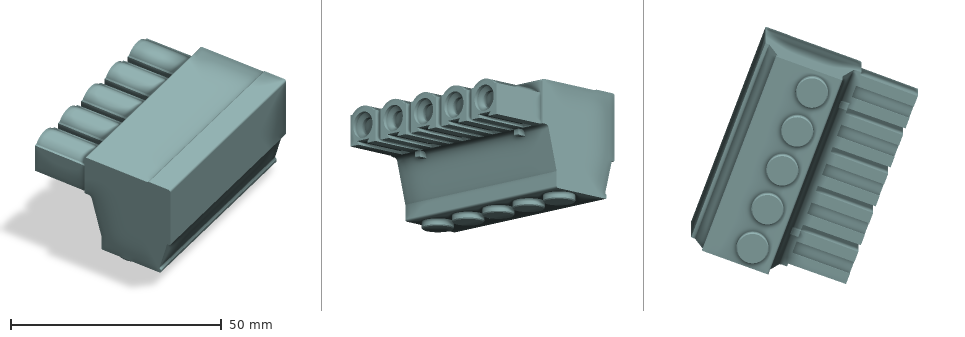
import cadquery as cq
import math


pole_count = 5
pole_pitch = 10.14

total_length = 38.9
total_height = 27.8
body_width = 50.64

plug_length = 14.63
screw_head_height = 1.7
top_step = 0.25
top_step_x = 32.45
top_step_run = 0.35
edge_radius = 0.6
plug_bottom_z = 16.65
throat_radius = 1.0
front_slope = math.radians(15)
foot_front_x = 19.35
foot_front_z = 5.75
corner_chamfer = 0.25
foot_radius = 0.5
rear_lip_z = 11.2
rear_lip_depth = 0.95
rear_notch_x = 35.8
rear_notch_z = 3.3
bead_top_z = 2.6
bead_x = 36.2

plug_tip_width = 8.4
plug_root_width = 8.6
plug_axis_z = 21.25
plug_crown_radius = 4.66
plug_shoulder_z = 24.25

socket_mouth_radius = 3.2
socket_bore_radius = 2.05
socket_mouth_depth = 1.1
socket_cone_depth = 0.7
socket_bore_depth = 1.0

groove_top_width = 4.2
groove_mouth_width = 3.0
groove_height = 0.95
groove_lip_height = 0.35

tab_offset = 16.5
tab_width = 1.6
tab_height = 1.5
tab_root_x = plug_length + 2.6
tab_radius = 0.3

screw_x = 25.25
screw_diameter = 7.7
screw_chamfer = 0.25


def pole_positions():
    middle = (pole_count - 1) / 2
    return [(index - middle) * pole_pitch for index in range(pole_count)]


def slab(outline, width, center_y):
    """Extrude an XZ outline to the given width, centred on center_y."""
    return outline.extrude(width / 2, both=True).translate((0, center_y, 0))


def make_housing():
    bottom_z = screw_head_height
    main_top_z = total_height - top_step
    slope_run = (plug_bottom_z - foot_front_z) * math.tan(front_slope)
    throat_corner_x = foot_front_x - slope_run
    throat_tangent = throat_radius * math.tan((math.pi / 2 - front_slope) / 2)
    slope_start_x = throat_corner_x + throat_tangent * math.sin(front_slope)
    slope_start_z = plug_bottom_z - throat_tangent * math.cos(front_slope)
    outline = (
        cq.Workplane("XZ")
        .moveTo(plug_length, plug_bottom_z)
        .lineTo(plug_length, main_top_z - edge_radius)
        .radiusArc((plug_length + edge_radius, main_top_z), edge_radius)
        .lineTo(top_step_x, main_top_z)
        .lineTo(top_step_x + top_step_run, total_height)
        .lineTo(total_length - edge_radius, total_height)
        .radiusArc((total_length, total_height - edge_radius), edge_radius)
        .lineTo(total_length, rear_lip_z + corner_chamfer)
        .lineTo(total_length - corner_chamfer, rear_lip_z)
        .lineTo(total_length - rear_lip_depth, rear_lip_z)
        .lineTo(rear_notch_x, rear_notch_z)
        .lineTo(rear_notch_x, rear_notch_z - corner_chamfer)
        .lineTo(bead_x, bead_top_z)
        .lineTo(bead_x, bottom_z + corner_chamfer)
        .lineTo(bead_x - corner_chamfer, bottom_z)
        .lineTo(foot_front_x + foot_radius, bottom_z)
        .radiusArc((foot_front_x, bottom_z + foot_radius), foot_radius)
        .lineTo(foot_front_x, foot_front_z)
        .lineTo(slope_start_x, slope_start_z)
        .radiusArc((throat_corner_x - throat_tangent, plug_bottom_z), -throat_radius)
        .close()
    )
    return slab(outline, body_width, 0)


def plug_section(x, width):
    """Plug outline in the YZ plane at x: flat sides and shoulders under a round crown."""
    half = width / 2
    shoulder_rise = plug_shoulder_z - plug_axis_z
    crown_half = math.sqrt(plug_crown_radius**2 - shoulder_rise**2)
    return (
        cq.Workplane("YZ", origin=(x, 0, 0))
        .moveTo(-half, plug_bottom_z)
        .lineTo(-half, plug_shoulder_z)
        .lineTo(-crown_half, plug_shoulder_z)
        .threePointArc((0, plug_axis_z + plug_crown_radius), (crown_half, plug_shoulder_z))
        .lineTo(half, plug_shoulder_z)
        .lineTo(half, plug_bottom_z)
        .close()
    )


def make_plug():
    """Plug with sides that widen slightly from the tip to the housing."""
    tip = plug_section(0, plug_tip_width).wires().val()
    root = plug_section(plug_length, plug_root_width).wires().val()
    return cq.Workplane(cq.Solid.makeLoft([tip, root], True))


def make_socket():
    """Stepped round socket: wide mouth, cone, then a narrow blind bore."""
    cone_end = socket_mouth_depth + socket_cone_depth
    bore_end = cone_end + socket_bore_depth
    return (
        cq.Workplane("XZ")
        .lineTo(0, socket_mouth_radius)
        .lineTo(socket_mouth_depth, socket_mouth_radius)
        .lineTo(cone_end, socket_bore_radius)
        .lineTo(bore_end, socket_bore_radius)
        .lineTo(bore_end, 0)
        .close()
        .revolve(360, (0, 0, 0), (1, 0, 0))
        .translate((0, 0, plug_axis_z))
    )


def make_groove():
    """Dovetail groove with a straight-sided mouth, running the full plug length."""
    half_top = groove_top_width / 2
    half_mouth = groove_mouth_width / 2
    top_z = plug_bottom_z + groove_height
    lip_z = plug_bottom_z + groove_lip_height
    return (
        cq.Workplane("YZ")
        .moveTo(-half_mouth, plug_bottom_z)
        .lineTo(-half_mouth, lip_z)
        .lineTo(-half_top, top_z)
        .lineTo(half_top, top_z)
        .lineTo(half_mouth, lip_z)
        .lineTo(half_mouth, plug_bottom_z)
        .close()
        .extrude(plug_length)
    )


def make_tab(center_y):
    """Keying tab hanging from the housing's front edge, with a rounded lower corner."""
    bottom_z = plug_bottom_z - tab_height
    outline = (
        cq.Workplane("XZ")
        .moveTo(plug_length, plug_bottom_z)
        .lineTo(tab_root_x, plug_bottom_z)
        .lineTo(tab_root_x, bottom_z)
        .lineTo(plug_length + tab_radius, bottom_z)
        .radiusArc((plug_length, bottom_z + tab_radius), tab_radius)
        .close()
    )
    return slab(outline, tab_width, center_y)


def make_screw_head(center_y):
    return (
        cq.Workplane("XY")
        .circle(screw_diameter / 2)
        .extrude(screw_head_height)
        .faces("<Z")
        .chamfer(screw_chamfer)
        .translate((screw_x, center_y, 0))
    )


plug = make_plug().cut(make_socket()).cut(make_groove())

result = make_housing()
for pole_y in pole_positions():
    result = result.union(plug.translate((0, pole_y, 0)))
    result = result.union(make_screw_head(pole_y))
for tab_y in (-tab_offset, tab_offset):
    result = result.union(make_tab(tab_y))